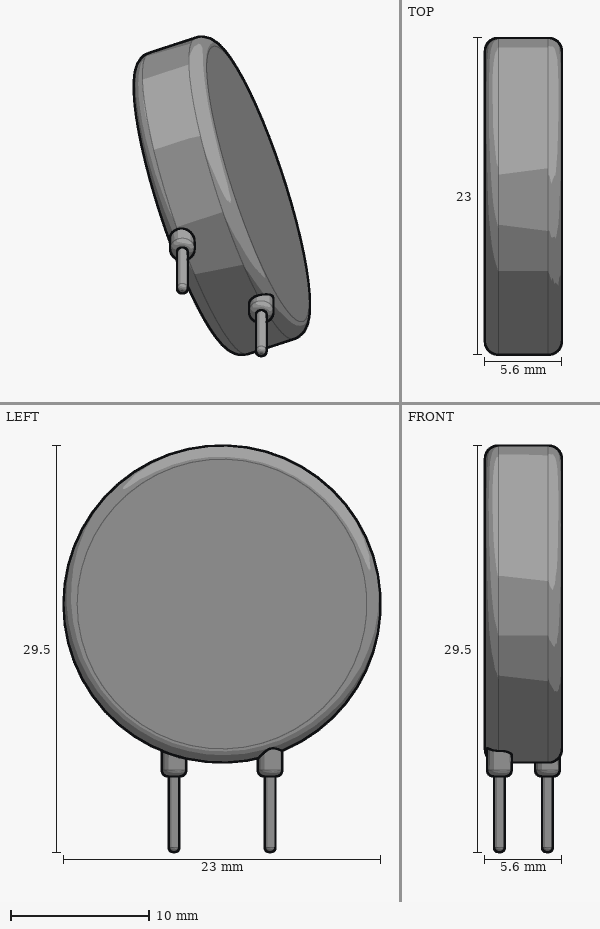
import cadquery as cq

disc_diameter = 23.0
disc_thickness = 5.6
disc_edge_radius = 1.0

overall_height = 29.47
pin_diameter = 0.8
pin_tip_radius = 0.35
pin_offset_x = 1.75
pin_offset_y = 3.48
pin_bottom_z = disc_diameter / 2 - overall_height

sleeve_diameter = 1.8
sleeve_drop = 1.0
sleeve_edge_radius = 0.47
sleeve_bottom_z = -disc_diameter / 2 - sleeve_drop

trim_top_z = -disc_diameter / 2 + 2 * disc_edge_radius


def make_disc():
    """Round disc with both rims rounded."""
    return (
        cq.Workplane("YZ", origin=(-disc_thickness / 2, 0, 0))
        .circle(disc_diameter / 2)
        .extrude(disc_thickness)
        .edges("%CIRCLE")
        .fillet(disc_edge_radius)
    )


def round_bar(x, y, bottom_z, diameter, end_radius):
    """Upright bar with a rounded lower end, reaching up into the disc."""
    return (
        cq.Workplane("XY", origin=(x, y, bottom_z))
        .circle(diameter / 2)
        .extrude(trim_top_z - bottom_z)
        .faces("<Z")
        .edges()
        .fillet(end_radius)
    )


def make_pin(x, y, disc):
    """Lead pin that ends against the disc."""
    return round_bar(x, y, pin_bottom_z, pin_diameter, pin_tip_radius).cut(disc)


def make_sleeve(x, y, disc, pin):
    """Sleeve that fits around its pin and ends against the disc."""
    blank = round_bar(x, y, sleeve_bottom_z, sleeve_diameter, sleeve_edge_radius)
    return blank.cut(disc).cut(pin)


disc = make_disc()
pins = []
sleeves = []
for side in (-1, 1):
    x = side * pin_offset_x
    y = side * pin_offset_y
    pin = make_pin(x, y, disc)
    pins.append(pin.val())
    sleeves.append(make_sleeve(x, y, disc, pin).val())

result = cq.Compound.makeCompound([disc.val(), *pins, *sleeves])